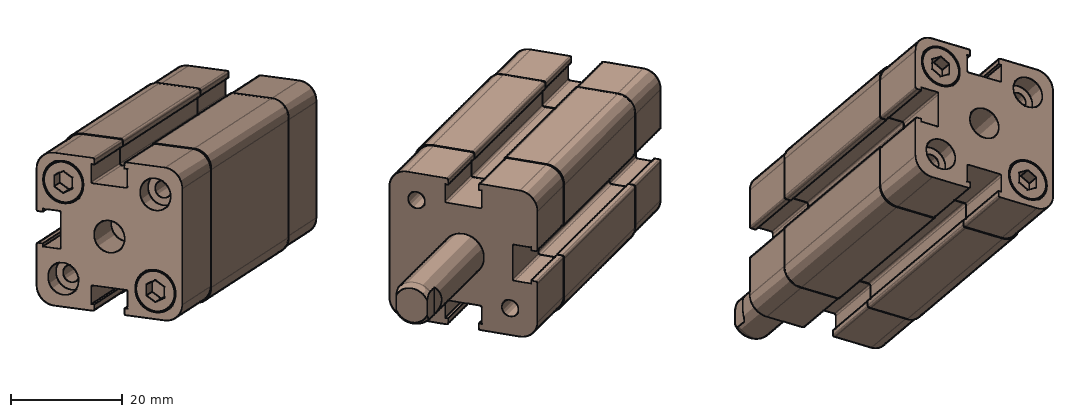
import cadquery as cq
import math

total_length = 82.5
cap_length = 12.3
barrel_length = 33.6
housing_length = 2 * cap_length + barrel_length

barrel_width = 29.0
cap_width = 28.7
corner_radius = 3.5

lip_inner_offset = 13.1
barrel_slot = {"mouth": 5.8, "width": 6.9, "floor": 9.4, "radius": 0.5}
cap_slot = {"mouth": 5.9, "width": 7.1, "floor": 9.6, "radius": 0.3}
slot_angles = (0, 90, 180)

rod_diameter = 8.0
rod_end_radius = 1.65
rod_end_length = 1.3
flat_spacing = 6.0
flat_length = 3.4

bolt_offset = 9.1
mount_bore_diameter = 6.0
mount_bore_depth = 3.5
mount_hole_diameter = 3.2
port_diameter = 6.0
port_depth = 7.4
screw_recess_diameter = 8.0
screw_head_diameter = 7.5
screw_head_height = 4.0
socket_corner_diameter = 4.1
socket_depth = 2.5


def cross_section(y):
    """XZ workplane at the given Y; its normal is -Y, so negative extrusions run toward +Y."""
    return cq.Workplane("XZ", origin=(0, y, 0))


def slot_cutter(width, slot, y, length):
    """T-slot opening on the top face, with rounded floor corners and mouth edges."""
    top = width / 2
    half_mouth = slot["mouth"] / 2
    half_slot = slot["width"] / 2
    radius = slot["radius"]
    floor = slot["floor"]
    flare = half_mouth + radius
    flare_bottom = top - radius
    arc_inset = radius * (1 - math.sqrt(0.5))
    cutter = (
        cross_section(y)
        .moveTo(-half_slot, floor)
        .lineTo(half_slot, floor)
        .lineTo(half_slot, lip_inner_offset)
        .lineTo(half_mouth, lip_inner_offset)
        .lineTo(half_mouth, flare_bottom)
        .threePointArc((half_mouth + arc_inset, top - arc_inset), (flare, top))
        .lineTo(-flare, top)
        .threePointArc((-half_mouth - arc_inset, top - arc_inset), (-half_mouth, flare_bottom))
        .lineTo(-half_mouth, lip_inner_offset)
        .lineTo(-half_slot, lip_inner_offset)
        .close()
        .extrude(-length)
    )
    return cutter.edges("|Y").edges("<Z").fillet(radius)


def slotted_block(width, slot, y, length):
    """Rounded square length of housing with three T-slots, its front face at y."""
    block = cross_section(y).rect(width, width).extrude(-length).edges("|Y").fillet(corner_radius)
    cutter = slot_cutter(width, slot, y, length)
    for angle in slot_angles:
        block = block.cut(cutter.rotate((0, 0, 0), (0, 1, 0), -angle))
    return block


def piston_rod():
    rod_radius = rod_diameter / 2
    arc_centre_x = rod_radius - rod_end_radius
    arc_start_y = total_length - rod_end_length
    end_angle = math.asin(rod_end_length / rod_end_radius)
    end_face_radius = arc_centre_x + rod_end_radius * math.cos(end_angle)
    arc_middle = (
        arc_centre_x + rod_end_radius * math.cos(end_angle / 2),
        arc_start_y + rod_end_radius * math.sin(end_angle / 2),
    )
    rod = (
        cq.Workplane("XY")
        .moveTo(0, housing_length)
        .lineTo(rod_radius, housing_length)
        .lineTo(rod_radius, arc_start_y)
        .threePointArc(arc_middle, (end_face_radius, total_length))
        .lineTo(0, total_length)
        .close()
        .revolve(360, (0, 0, 0), (0, 1, 0))
    )
    flat_start = total_length - flat_length
    shoulder = rod_radius - flat_spacing / 2
    flat = (
        cq.Workplane("XY")
        .polyline([
            (flat_spacing / 2, total_length),
            (flat_spacing / 2, flat_start),
            (rod_radius, flat_start - shoulder),
            (rod_radius, total_length),
        ])
        .close()
        .extrude(rod_radius, both=True)
    )
    return rod.cut(flat).cut(flat.mirror("YZ"))


def mounting_holes():
    """Counterbored through holes in two opposite corners."""
    points = [(bolt_offset, bolt_offset), (-bolt_offset, -bolt_offset)]
    holes = cross_section(0).pushPoints(points).circle(mount_hole_diameter / 2).extrude(-housing_length)
    bores = cross_section(0).pushPoints(points).circle(mount_bore_diameter / 2).extrude(-mount_bore_depth)
    return holes.union(bores)


def screw_recesses():
    """Clearance rings and hex sockets of the flush screws in the other two corners."""
    points = [(-bolt_offset, bolt_offset), (bolt_offset, -bolt_offset)]
    recesses = (
        cross_section(0)
        .pushPoints(points)
        .circle(screw_recess_diameter / 2)
        .circle(screw_head_diameter / 2)
        .extrude(-screw_head_height)
    )
    for x, z in points:
        socket = (
            cq.Workplane("XZ", origin=(x, 0, z))
            .transformed(rotate=(0, 0, 90))
            .polygon(6, socket_corner_diameter)
            .extrude(-socket_depth)
        )
        recesses = recesses.union(socket)
    return recesses


front_cap = slotted_block(cap_width, cap_slot, 0, cap_length)
barrel = slotted_block(barrel_width, barrel_slot, cap_length, barrel_length)
rear_cap = slotted_block(cap_width, cap_slot, cap_length + barrel_length, cap_length)
port = cross_section(0).circle(port_diameter / 2).extrude(-port_depth)

result = (
    front_cap.union(barrel)
    .union(rear_cap)
    .union(piston_rod())
    .cut(mounting_holes())
    .cut(screw_recesses())
    .cut(port)
)